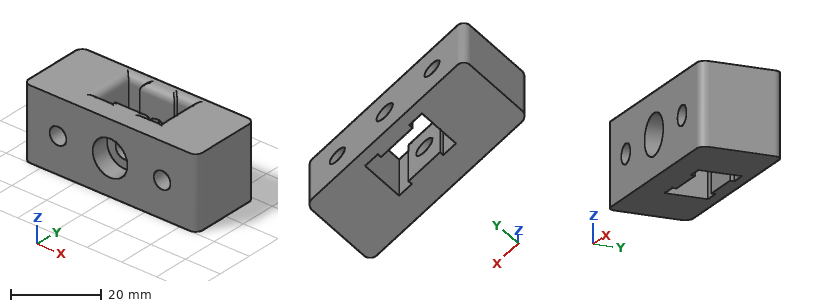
import cadquery as cq
import math

length = 50
width = 20
height = 20
corner_radius = 2

window_length = 18
window_width = 10.5
window_center_y = 2
rib_length = 10
rib_projection = 1
rim_radius = 2

bolt_diameter = 5.2
counterbore_diameter = 10
counterbore_depth = 5
side_hole_diameter = 4.8
side_hole_spacing = 30


def flared_profile(plane, center, size, depth):
    """Slab with straight walls that flare out over a convex arc at the top."""
    half = size / 2
    arc_inset = rim_radius * (1 - math.sqrt(0.5))
    arc_start = height - rim_radius
    return (
        cq.Workplane(plane)
        .center(center, 0)
        .moveTo(-half, 0)
        .lineTo(half, 0)
        .lineTo(half, arc_start)
        .threePointArc((half + arc_inset, height - arc_inset), (half + rim_radius, height))
        .lineTo(-half - rim_radius, height)
        .threePointArc((-half - arc_inset, height - arc_inset), (-half, arc_start))
        .close()
        .extrude(depth, both=True)
    )


def flared_opening(center_x, size_x, size_y):
    """Rectangular through opening with a rounded, mitred top rim."""
    along_x = flared_profile("XZ", center_x, size_x, length)
    along_y = flared_profile("YZ", window_center_y, size_y, length)
    return along_x.intersect(along_y)


def hole_along_y(x, diameter, depth):
    """Round cutter entering from the -Y face."""
    return (
        cq.Workplane("XZ", origin=(x, -width / 2, height / 2))
        .circle(diameter / 2)
        .extrude(-depth)
    )


result = cq.Workplane("XY").box(length, width, height, centered=(True, True, False))
result = result.edges("|Z").fillet(corner_radius)

end_length = (window_length - rib_length) / 2
end_center = (window_length - end_length) / 2
result = result.cut(flared_opening(0, window_length, window_width - 2 * rib_projection))
for side in (-1, 1):
    result = result.cut(flared_opening(side * end_center, end_length, window_width))

result = result.cut(hole_along_y(0, bolt_diameter, width))
result = result.cut(hole_along_y(0, counterbore_diameter, counterbore_depth))
for side in (-1, 1):
    result = result.cut(hole_along_y(side * side_hole_spacing / 2, side_hole_diameter, width))